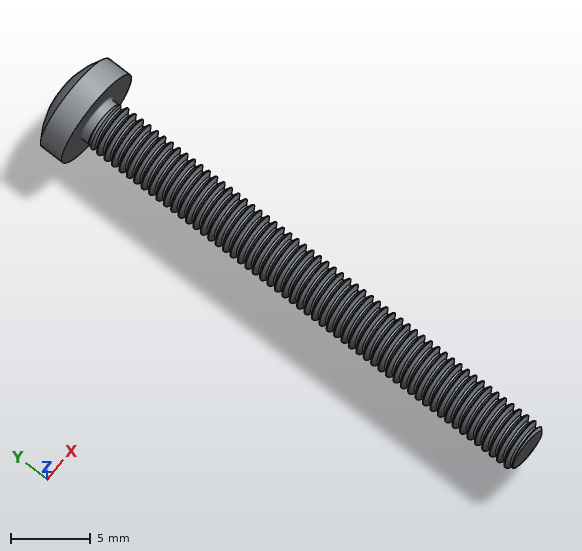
import cadquery as cq
import math

total_length = 37.6
head_diameter = 7.0
head_height = 2.6
head_rim_height = 1.73
head_dome_radius = 6.0

neck_diameter = 3.12
neck_length = 0.6
neck_fillet = 0.15
neck_taper_length = 0.53

thread_diameter = 3.5
thread_pitch = 0.6
flank_angle = math.radians(30)
sharp_height = thread_pitch / 2 / math.tan(flank_angle)
thread_depth = 5 / 8 * sharp_height
root_flat = thread_pitch / 4
tip_diameter = 2.95

thread_start = -0.68
thread_start_angle = 90
envelope_clearance = 0.05

shank_length = total_length - head_height
thread_length = shank_length - neck_length
rim_top = shank_length + head_rim_height

head_radius = head_diameter / 2
thread_radius = thread_diameter / 2
neck_radius = neck_diameter / 2
tip_radius = tip_diameter / 2

dome_center = rim_top - math.sqrt(head_dome_radius**2 - head_radius**2)
head_flat_radius = math.sqrt(head_dome_radius**2 - (total_length - dome_center)**2)


def dome_point(radius):
    """Point of the spherical head dome at a given radius from the axis."""
    return radius, dome_center + math.sqrt(head_dome_radius**2 - radius**2)


def revolve_about_axis(profile):
    """Close a profile of radius against station and turn it about the screw axis."""
    return profile.close().revolve(360, (0, 0, 0), (0, 1, 0))


def helix_turn(radius, station):
    """One right-handed turn of a helix about Y, starting above +X at the given station."""
    helix = cq.Wire.makeHelix(thread_pitch, thread_pitch, radius).Edges()[0]
    return helix.rotate(cq.Vector(), cq.Vector(1, 0, 0), -90).translate(cq.Vector(0, station, 0))


def make_threaded_rod():
    """Threaded rod overrunning both ends of the thread, bounded by helical strips for each turn.

    Each end is closed by a helicoid of one turn and the flat step where that turn ends.
    """
    root_radius = thread_radius - thread_depth
    flank_width = thread_depth * math.tan(flank_angle)
    crest_flat = thread_pitch - root_flat - 2 * flank_width
    profile = [
        (root_radius, 0),
        (root_radius, root_flat),
        (thread_radius, root_flat + flank_width),
        (thread_radius, root_flat + flank_width + crest_flat),
        (root_radius, thread_pitch),
    ]
    turns = math.ceil((thread_length - thread_start) / thread_pitch)
    faces = []
    for turn in range(turns):
        base = thread_start + turn * thread_pitch
        edges = [helix_turn(radius, base + offset) for radius, offset in profile]
        faces += [cq.Face.makeRuledSurface(low, high) for low, high in zip(edges, edges[1:])]

    for base in (thread_start, thread_start + turns * thread_pitch):
        axis = cq.Edge.makeLine(cq.Vector(0, base, 0), cq.Vector(0, base + thread_pitch, 0))
        faces.append(cq.Face.makeRuledSurface(axis, helix_turn(root_radius, base)))
        outline = [(0, 0), *profile, (0, thread_pitch)]
        corners = [cq.Vector(radius, base + offset) for radius, offset in outline]
        faces.append(cq.Face.makeFromWires(cq.Wire.makePolygon(corners, close=True)))

    rod = cq.Solid.makeSolid(cq.Shell.makeShell(faces))
    return cq.Workplane(obj=rod).rotate((0, 0, 0), (0, 1, 0), thread_start_angle)


def make_thread_envelope():
    """Limits of the thread: chamfered tip, and a taper running out at the neck."""
    outer_radius = thread_radius + envelope_clearance
    profile = (
        cq.Workplane("XY")
        .lineTo(tip_radius, 0)
        .lineTo(outer_radius, outer_radius - tip_radius)
        .lineTo(outer_radius, thread_length - neck_taper_length)
        .lineTo(neck_radius, thread_length)
        .lineTo(0, thread_length)
    )
    return revolve_about_axis(profile)


def make_head():
    """Domed head with the filleted neck below it."""
    dome_middle = dome_point((head_radius + head_flat_radius) / 2)
    fillet_middle = neck_fillet * (1 - math.sqrt(0.5))
    profile = (
        cq.Workplane("XY")
        .moveTo(0, thread_length)
        .lineTo(neck_radius, thread_length)
        .lineTo(neck_radius, shank_length - neck_fillet)
        .threePointArc(
            (neck_radius + fillet_middle, shank_length - fillet_middle),
            (neck_radius + neck_fillet, shank_length),
        )
        .lineTo(head_radius, shank_length)
        .lineTo(head_radius, rim_top)
        .threePointArc(dome_middle, (head_flat_radius, total_length))
        .lineTo(0, total_length)
    )
    return revolve_about_axis(profile)


threaded_shank = make_threaded_rod().intersect(make_thread_envelope())
screw = threaded_shank.union(make_head())
result = cq.Workplane(obj=screw.solids().val())